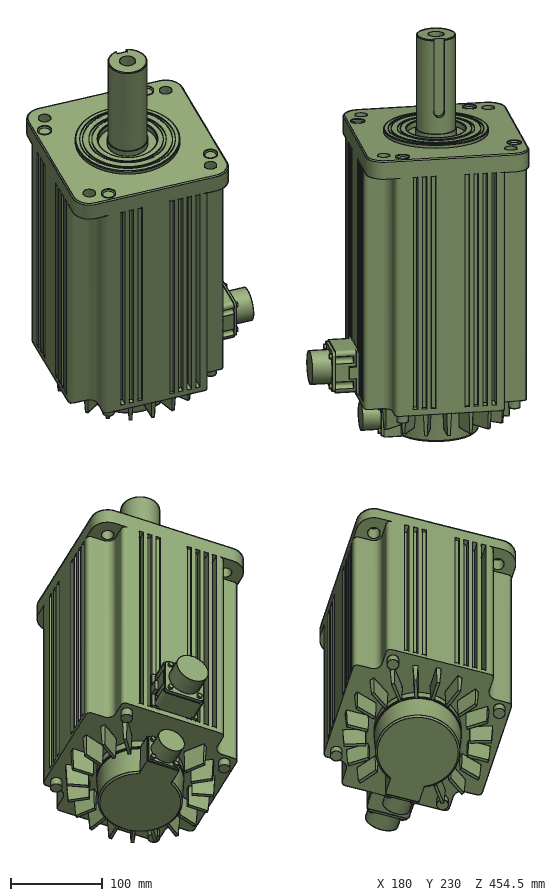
import cadquery as cq
import math

TOTAL_HEIGHT = 454.5
PILOT_TOP = 346.5
FLANGE_TOP = 342.5
FLANGE_BOTTOM = 321.5
HOUSING_BOTTOM = 54.0
END_PLATE_BOTTOM = 47.5

FRAME_SIZE = 180.0
HALF_FRAME = FRAME_SIZE / 2
TOTAL_DEPTH = 230.0
MOUNT_HOLE_OFFSET = 70.5
MOUNT_HOLE_RADIUS = 7.0
FLANGE_CORNER_RADIUS = HALF_FRAME - MOUNT_HOLE_OFFSET
FLANGE_CHAMFER = 1.5
NOTCH_WALL = 61.0
NOTCH_INNER_RADIUS = MOUNT_HOLE_OFFSET - NOTCH_WALL
NOTCH_EDGE_RADIUS = 5.0

TOUCH = 0.5

GROOVE_WIDTH = 5.0
GROOVE_PITCH = 10.0
FIRST_GROOVE = 18.5
GROOVES_ON_LEFT = 3
GROOVES_ON_RIGHT = 4
GROOVE_FLOOR_RADIUS = 89.0

SCREW_NEAR = 51.0
SCREW_FAR = 77.8
SCREW_HEAD_RADIUS = 6.5
SCREW_HEAD_BOTTOM = 37.5
SCREW_RECESS_RADIUS = 7.7
SCREW_RECESS_CHAMFER = 1.5
SCREW_RECESS_DEPTH = 2.5

PILOT_RADIUS = 57.5
PILOT_CHAMFER = 1.0
PILOT_GROOVES = ((52.5, 49.0), (42.5, 39.0))
PILOT_GROOVE_DEPTH = 1.5
SEAL_SEAT_RADIUS = 32.5
SEAL_SEAT_DEPTH = 7.0
SEAL_SEAT_CHAMFER = 1.0

SHAFT_RADIUS = 21.5
SHAFT_COLLAR_RADIUS = 22.5
SHAFT_CHAMFER = 1.0
KEYWAY_WIDTH = 12.0
KEYWAY_END = 365.5
KEYWAY_FLOOR = 16.0
CENTRE_HOLE_RADIUS = 8.5
CENTRE_HOLE_DEPTH = 32.0
DRILL_POINT_ANGLE = 118
CENTRE_HOLE_TIP = CENTRE_HOLE_RADIUS / math.tan(math.radians(DRILL_POINT_ANGLE / 2))

FIN_COUNT = 20
FIN_BOTTOM = 18.5
FIN_INNER_RADIUS = 57.0
FIN_OUTER_TOP = 82.0
FIN_OUTER_BOTTOM = 80.5
FIN_ROOT_THICKNESS = 5.5
FIN_TIP_THICKNESS = 3.0
FINS_LEFT_OUT = (4, 5, 6)
COVER_BOTTOM_RADIUS = 46.0
COVER_TOP_RADIUS = 47.7
COVER_TOP = 36.0
COVER_CHAMFER = 2.0
SPIGOT_BOTTOM = 38.0
SEAL_RADIUS = 47.0

COLLAR_INSET = 1.5
COLLAR_SCREW_RADIUS = 2.7
COLLAR_SCREW_LENGTH = 2.7

POWER_Z = 78.5
POWER_HALF_SIZE = 24.0
POWER_CORNER = 4.5
POWER_SHELL_RADIUS = 18.5
POWER_LEVELS = (115.5, 118.5, TOTAL_DEPTH - HALF_FRAME)
POWER_SCREW_OFFSET = 17.5
POWER_BASE_WIDTH = 54.5
POWER_BASE_END = 92.8
POWER_PAD_END = 101.0
POWER_PAD_HEIGHT = 13.5
POWER_CHANNEL_RADIUS = 4.0
POWER_CHANNEL_OFFSET = 14.5
POWER_CHANNEL_START = 95.5

ENCODER_Z = 19.0
ENCODER_HALF_SIZE = 19.0
ENCODER_SHELL_RADIUS = 15.5
ENCODER_LEVELS = (61.0, 63.5, 83.5)
ENCODER_SCREW_OFFSET = 13.5
ENCODER_ROOT = 36.5


def ring_of_four(shape):
    """The shape and its copies turned by quarter turns about the motor axis."""
    whole = shape
    for quarter in range(1, 4):
        whole = whole.union(shape.rotate((0, 0, 0), (0, 0, 1), 90 * quarter))
    return whole


def cylinder(radius, bottom, top):
    return cq.Workplane("XY").workplane(offset=bottom).circle(radius).extrude(top - bottom)


def square_block(bottom, top):
    return cq.Workplane("XY").workplane(offset=bottom).rect(FRAME_SIZE, FRAME_SIZE).extrude(top - bottom)


def notched_frame(bottom, top):
    """Square prism whose corners are cut back in steps that clear the mounting bolts."""
    notch_size = HALF_FRAME - NOTCH_WALL
    notch_centre = NOTCH_WALL + notch_size / 2
    notches = (
        cq.Workplane("XY").workplane(offset=bottom)
        .rect(2 * notch_centre, 2 * notch_centre, forConstruction=True).vertices()
        .rect(notch_size, notch_size).extrude(top - bottom)
    )
    frame = square_block(bottom, top).cut(notches)
    inner_corners = cq.selectors.BoxSelector(
        (-NOTCH_WALL - TOUCH, -NOTCH_WALL - TOUCH, bottom), (NOTCH_WALL + TOUCH, NOTCH_WALL + TOUCH, top)
    )
    frame = frame.edges("|Z").edges(inner_corners).fillet(NOTCH_INNER_RADIUS)
    side_edges = "(>X or <X or >Y or <Y)"
    return frame.edges("|Z and " + side_edges).fillet(NOTCH_EDGE_RADIUS)


def housing_grooves():
    """Cooling grooves of the -Y face, each reaching in to one cylinder about the motor axis."""
    right_places = [FIRST_GROOVE + GROOVE_PITCH * index for index in range(GROOVES_ON_RIGHT)]
    left_places = [-x for x in right_places[:GROOVES_ON_LEFT]]
    slots = (
        cq.Workplane("XY").workplane(offset=HOUSING_BOTTOM)
        .pushPoints([(x, -HALF_FRAME / 2) for x in right_places + left_places])
        .rect(GROOVE_WIDTH, HALF_FRAME)
        .extrude(FLANGE_BOTTOM - HOUSING_BOTTOM)
    )
    return slots.cut(cylinder(GROOVE_FLOOR_RADIUS, HOUSING_BOTTOM, FLANGE_BOTTOM))


def make_housing():
    """Grooved housing with the plain end plate below it."""
    housing = notched_frame(HOUSING_BOTTOM, FLANGE_BOTTOM).cut(ring_of_four(housing_grooves()))
    return housing.union(notched_frame(END_PLATE_BOTTOM, HOUSING_BOTTOM))


def make_flange():
    """Mounting flange with through holes and shallow recesses over the tie screws."""
    flange = square_block(FLANGE_BOTTOM, FLANGE_TOP).edges("|Z").fillet(FLANGE_CORNER_RADIUS)
    flange = flange.faces(">Z").chamfer(FLANGE_CHAMFER)
    holes = (
        cq.Workplane("XY").workplane(offset=FLANGE_BOTTOM)
        .rect(2 * MOUNT_HOLE_OFFSET, 2 * MOUNT_HOLE_OFFSET, forConstruction=True).vertices()
        .circle(MOUNT_HOLE_RADIUS).extrude(FLANGE_TOP - FLANGE_BOTTOM)
    )
    recess = cylinder(SCREW_RECESS_RADIUS, FLANGE_TOP - SCREW_RECESS_DEPTH, FLANGE_TOP)
    recess = recess.faces("<Z").chamfer(SCREW_RECESS_CHAMFER).translate((SCREW_NEAR, SCREW_FAR, 0))
    return flange.cut(holes).cut(ring_of_four(recess))


def add_pilot(flange):
    """Add the centring pilot, then cut its ring grooves and the seal seat."""
    pilot = cylinder(PILOT_RADIUS, FLANGE_BOTTOM, PILOT_TOP).faces(">Z").chamfer(PILOT_CHAMFER)
    flange = flange.union(pilot)
    pilot_face = cq.Workplane("XY").workplane(offset=PILOT_TOP)
    for outer, inner in PILOT_GROOVES:
        flange = flange.cut(pilot_face.circle(outer).circle(inner).extrude(-PILOT_GROOVE_DEPTH))
    seat = pilot_face.circle(SEAL_SEAT_RADIUS).extrude(-SEAL_SEAT_DEPTH)
    mouth = pilot_face.circle(SEAL_SEAT_RADIUS + SEAL_SEAT_CHAMFER).extrude(-SEAL_SEAT_CHAMFER, taper=45)
    return flange.cut(seat).cut(mouth)


def make_screw_heads():
    """Heads of the tie screws under the end plate."""
    head = cylinder(SCREW_HEAD_RADIUS, SCREW_HEAD_BOTTOM, END_PLATE_BOTTOM)
    return ring_of_four(head.translate((SCREW_NEAR, SCREW_FAR, 0)))


def make_shaft():
    """Keyed shaft with a drilled end and a slightly larger collar inside the seal seat."""
    shaft = cylinder(SHAFT_RADIUS, FLANGE_BOTTOM, TOTAL_HEIGHT).faces(">Z").chamfer(SHAFT_CHAMFER)
    shaft = shaft.union(cylinder(SHAFT_COLLAR_RADIUS, FLANGE_BOTTOM, PILOT_TOP))
    round_end = KEYWAY_END + KEYWAY_WIDTH / 2
    keyway = (
        cq.Workplane("YZ").workplane(offset=-SHAFT_RADIUS)
        .moveTo(-KEYWAY_WIDTH / 2, TOTAL_HEIGHT).lineTo(-KEYWAY_WIDTH / 2, round_end)
        .threePointArc((0, KEYWAY_END), (KEYWAY_WIDTH / 2, round_end))
        .lineTo(KEYWAY_WIDTH / 2, TOTAL_HEIGHT).close()
        .extrude(SHAFT_RADIUS - KEYWAY_FLOOR)
    )
    hole_floor = TOTAL_HEIGHT - CENTRE_HOLE_DEPTH
    centre_hole = (
        cq.Workplane("XZ")
        .polyline([
            (0, TOTAL_HEIGHT),
            (CENTRE_HOLE_RADIUS, TOTAL_HEIGHT),
            (CENTRE_HOLE_RADIUS, hole_floor),
            (0, hole_floor - CENTRE_HOLE_TIP),
        ]).close()
        .revolve(360, (0, 0, 0), (0, 1, 0))
    )
    return shaft.cut(keyway).cut(centre_hole)


def make_fins():
    """Radial fins under the end plate, thinner and shorter towards their free edge."""
    top_length = FIN_OUTER_TOP - FIN_INNER_RADIUS
    bottom_length = FIN_OUTER_BOTTOM - FIN_INNER_RADIUS
    fin = (
        cq.Workplane("XY").workplane(offset=END_PLATE_BOTTOM)
        .center(FIN_INNER_RADIUS + top_length / 2, 0).rect(top_length, FIN_ROOT_THICKNESS)
        .workplane(offset=FIN_BOTTOM - END_PLATE_BOTTOM)
        .center((bottom_length - top_length) / 2, 0).rect(bottom_length, FIN_TIP_THICKNESS)
        .loft()
    )
    fins = cq.Workplane("XY")
    for index in range(FIN_COUNT):
        if index not in FINS_LEFT_OUT:
            fins.add(fin.rotate((0, 0, 0), (0, 0, 1), index * 360 / FIN_COUNT))
    return fins.combine()


def make_cover():
    """Tapered encoder cover, the seal above it and the spigot of the end plate."""
    cover = (
        cq.Workplane("XY").circle(COVER_BOTTOM_RADIUS)
        .workplane(offset=COVER_TOP).circle(COVER_TOP_RADIUS).loft()
        .faces("<Z").chamfer(COVER_CHAMFER)
    )
    seal = cylinder(SEAL_RADIUS, COVER_TOP, SPIGOT_BOTTOM)
    spigot = cylinder(COVER_TOP_RADIUS, SPIGOT_BOTTOM, END_PLATE_BOTTOM)
    return cover.union(seal).union(spigot)


def bar_along_y(half_size, start, end, height):
    """Square bar running along Y, centred at the given height."""
    bar = cq.Workplane("XZ", origin=(0, start, height)).rect(2 * half_size, 2 * half_size)
    return bar.extrude(start - end)


def rod_along_y(radius, start, end, x, z):
    return cq.Workplane("XZ", origin=(x, start, z)).circle(radius).extrude(start - end)


def shell_and_screws(height, shell_radius, collar_end, shell_end, screw_offset):
    """Round plug shell with the four screw heads around its foot."""
    shell = rod_along_y(shell_radius, collar_end, shell_end, 0, height)
    screw_end = collar_end + COLLAR_SCREW_LENGTH
    for x in (-screw_offset, screw_offset):
        for rise in (-screw_offset, screw_offset):
            shell = shell.union(rod_along_y(COLLAR_SCREW_RADIUS, collar_end, screw_end, x, height + rise))
    return shell


def make_power_connector():
    """Channelled block on a wide base, with a pad on each side, a collar and a plug shell."""
    block_end, collar_end, shell_end = POWER_LEVELS
    block = bar_along_y(POWER_HALF_SIZE, HALF_FRAME, block_end, POWER_Z).edges("|Y").fillet(POWER_CORNER)
    collar = bar_along_y(POWER_HALF_SIZE - COLLAR_INSET, block_end, collar_end, POWER_Z)
    collar = collar.edges("|Y").fillet(POWER_CORNER)
    for x in (-POWER_HALF_SIZE, POWER_HALF_SIZE):
        for rise in (-POWER_CHANNEL_OFFSET, POWER_CHANNEL_OFFSET):
            block = block.cut(
                rod_along_y(POWER_CHANNEL_RADIUS, POWER_CHANNEL_START, block_end, x, POWER_Z + rise)
            )
    foot = cq.Workplane("XZ", origin=(0, HALF_FRAME, POWER_Z))
    base = foot.rect(POWER_BASE_WIDTH, 2 * POWER_HALF_SIZE).extrude(HALF_FRAME - POWER_BASE_END)
    pads = foot.rect(POWER_BASE_WIDTH, POWER_PAD_HEIGHT).extrude(HALF_FRAME - POWER_PAD_END)
    shell = shell_and_screws(POWER_Z, POWER_SHELL_RADIUS, collar_end, shell_end, POWER_SCREW_OFFSET)
    return block.union(collar).union(base).union(pads).union(shell)


def make_encoder_connector():
    """Plain block growing out of the encoder cover, with a collar and a plug shell."""
    block_end, collar_end, shell_end = ENCODER_LEVELS
    block = bar_along_y(ENCODER_HALF_SIZE, ENCODER_ROOT, block_end, ENCODER_Z)
    collar = bar_along_y(ENCODER_HALF_SIZE - COLLAR_INSET, block_end, collar_end, ENCODER_Z)
    shell = shell_and_screws(ENCODER_Z, ENCODER_SHELL_RADIUS, collar_end, shell_end, ENCODER_SCREW_OFFSET)
    return block.union(collar).union(shell)


result = make_housing()
for piece in (
    add_pilot(make_flange()),
    make_shaft(),
    make_screw_heads(),
    make_fins(),
    make_cover(),
    make_power_connector(),
    make_encoder_connector(),
):
    result = result.union(piece)